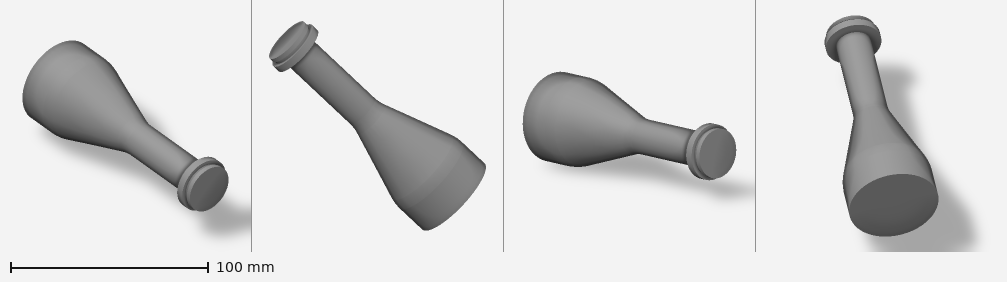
import math

import cadquery as cq

head_diameter = 46.0
head_length = 16.5
neck_diameter = 18.0
taper_angle = math.radians(18.0)
blend_radius = 20.0

total_length = 120.36
flange_diameter = 28.6
flange_thickness = 4.0
spigot_length = 4.1
groove_diameter = 24.2
groove_width = 1.7
lip_diameter = 25.4

head_radius = head_diameter / 2
neck_radius = neck_diameter / 2

blend_length = blend_radius * math.sin(taper_angle)
blend_drop = blend_radius * (1 - math.cos(taper_angle))
cone_drop = head_radius - neck_radius - 2 * blend_drop
cone_start = head_length + blend_length
cone_end = cone_start + cone_drop / math.tan(taper_angle)
neck_start = cone_end + blend_length
flange_back = total_length - spigot_length
flange_front = flange_back - flange_thickness
lip_start = flange_back + groove_width

mid_length = blend_radius * math.sin(taper_angle / 2)
mid_drop = blend_radius * (1 - math.cos(taper_angle / 2))


def tapered_body():
    """Head, cone and neck as one revolved profile."""
    profile = (
        cq.Workplane("XZ")
        .lineTo(0, head_radius)
        .lineTo(head_length, head_radius)
        .threePointArc(
            (head_length + mid_length, head_radius - mid_drop),
            (cone_start, head_radius - blend_drop),
        )
        .lineTo(cone_end, neck_radius + blend_drop)
        .threePointArc(
            (neck_start - mid_length, neck_radius + mid_drop),
            (neck_start, neck_radius),
        )
        .lineTo(flange_front, neck_radius)
        .lineTo(flange_front, 0)
        .close()
    )
    return profile.revolve(360, (0, 0, 0), (1, 0, 0))


def disc(start, end, diameter):
    """Cylinder on the X axis between two X positions."""
    return cq.Workplane("YZ", origin=(start, 0, 0)).circle(diameter / 2).extrude(end - start)


flange = disc(flange_front, flange_back, flange_diameter)
groove = disc(flange_back, lip_start, groove_diameter)
lip = disc(lip_start, total_length, lip_diameter)

result = tapered_body().union(flange).union(groove).union(lip)